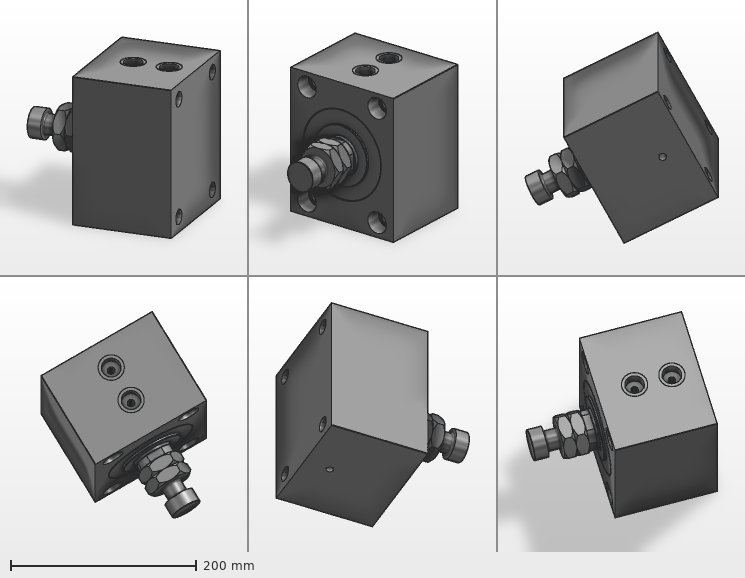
import cadquery as cq
import math

OVERALL_LENGTH = 190.0

BLOCK_LENGTH = 115.0
BLOCK_WIDTH = 140.0
BLOCK_HEIGHT = 170.0
BLOCK_EDGE_CHAMFER = 0.5
BLOCK_FRONT = OVERALL_LENGTH - BLOCK_LENGTH

MOUNT_SPACING_Y = 95.0
MOUNT_SPACING_Z = 134.9
MOUNT_HOLE_DIAMETER = 17.0
MOUNT_BORE_DIAMETER = 25.0
MOUNT_BORE_DEPTH = 19.0

FRONT_PORT_X = BLOCK_FRONT + 42.0
REAR_PORT_X = FRONT_PORT_X + 42.0
PORT_FACE_DIAMETER = 28.3
PORT_FACE_DEPTH = 0.4
PORT_THREAD_DIAMETER = 21.0
PORT_THREAD_DEPTH = 14.0
PORT_DUCT_DIAMETER = 8.2

GLAND_DIAMETER = 104.9
GLAND_DEPTH = 28.5
GLAND_SEAT_CHAMFER = 1.0
BOSS_DIAMETER = 72.0
BOSS_HEIGHT = 2.8
BOSS_CHAMFER = 0.8
WIPER_DIAMETER = 48.3
WIPER_DEPTH = 1.5
BOSS_FRONT = BLOCK_FRONT - BOSS_HEIGHT

ROD_DIAMETER = 45.0
ROD_CHAMFER = 0.4
ROD_PROJECTION = 3.0
ROD_INNER_END = BLOCK_FRONT + 57.0
ROD_SHOULDER = BOSS_FRONT - ROD_PROJECTION
WRENCH_FLATS = 40.5
WRENCH_ROUND_DIAMETER = 44.5

HEAD_DIAMETER = 34.8
HEAD_LENGTH = 16.0
HEAD_CHAMFER = 0.5
NECK_DIAMETER = 23.0
NECK_FILLET = 1.9
HEX_FLATS = 46.0
HEX_LENGTH = 14.2
HEX_COUNT = 2
HEX_START = 32.0
STUD_END = HEX_START + HEX_COUNT * HEX_LENGTH


def round_bar(diameter, start, end):
    """Cylinder on the X axis from X = start to X = end."""
    return cq.Workplane("YZ", origin=(start, 0, 0)).circle(diameter / 2).extrude(end - start)


def port_bore(x, diameter, depth):
    """Vertical cutter that goes down from the top face of the block."""
    top = cq.Workplane("XY", origin=(x, 0, BLOCK_HEIGHT / 2))
    return top.circle(diameter / 2).extrude(-depth)


def cut_port(body, x, duct_depth):
    """Spot face, thread bore and narrow oil duct of one port."""
    body = body.cut(port_bore(x, PORT_FACE_DIAMETER, PORT_FACE_DEPTH))
    body = body.cut(port_bore(x, PORT_THREAD_DIAMETER, PORT_THREAD_DEPTH))
    return body.cut(port_bore(x, PORT_DUCT_DIAMETER, duct_depth))


def make_block():
    """Drilled block with the seat for the gland and a blind bore for the rod."""
    body = cq.Workplane("XY").box(BLOCK_LENGTH, BLOCK_WIDTH, BLOCK_HEIGHT)
    body = body.edges("|X").chamfer(BLOCK_EDGE_CHAMFER)
    body = body.translate((BLOCK_FRONT + BLOCK_LENGTH / 2, 0, 0))

    body = (
        body.faces("<X").workplane(origin=(BLOCK_FRONT, 0, 0))
        .rarray(MOUNT_SPACING_Y, MOUNT_SPACING_Z, 2, 2)
        .cboreHole(MOUNT_HOLE_DIAMETER, MOUNT_BORE_DIAMETER, MOUNT_BORE_DEPTH)
    )

    body = cut_port(body, FRONT_PORT_X, BLOCK_HEIGHT / 2)
    body = cut_port(body, REAR_PORT_X, BLOCK_HEIGHT)

    seat = round_bar(GLAND_DIAMETER, BLOCK_FRONT, BLOCK_FRONT + GLAND_DEPTH)
    seat_mouth = cq.Workplane(
        cq.Solid.makeCone(
            GLAND_DIAMETER / 2 + GLAND_SEAT_CHAMFER,
            GLAND_DIAMETER / 2,
            GLAND_SEAT_CHAMFER,
            pnt=cq.Vector(BLOCK_FRONT, 0, 0),
            dir=cq.Vector(1, 0, 0),
        )
    )
    rod_bore = round_bar(ROD_DIAMETER, BLOCK_FRONT, ROD_INNER_END)
    return body.cut(seat).cut(seat_mouth).cut(rod_bore)


def make_gland():
    """Plug with a chamfered boss and a shallow wiper recess around the rod."""
    plug = round_bar(GLAND_DIAMETER, BLOCK_FRONT, BLOCK_FRONT + GLAND_DEPTH)
    boss = round_bar(BOSS_DIAMETER, BOSS_FRONT, BLOCK_FRONT).faces("<X").chamfer(BOSS_CHAMFER)
    rod_bore = round_bar(ROD_DIAMETER, BOSS_FRONT, BLOCK_FRONT + GLAND_DEPTH)
    wiper_recess = round_bar(WIPER_DIAMETER, BOSS_FRONT, BOSS_FRONT + WIPER_DEPTH)
    return plug.union(boss).cut(rod_bore).cut(wiper_recess)


def make_rod():
    """Round rod with a shoulder and a narrower square wrench section."""
    shaft = round_bar(ROD_DIAMETER, ROD_SHOULDER, ROD_INNER_END).faces("<X").chamfer(ROD_CHAMFER)
    square = (
        cq.Workplane("YZ", origin=(STUD_END, 0, 0))
        .rect(WRENCH_FLATS, WRENCH_FLATS)
        .extrude(ROD_SHOULDER - STUD_END)
    )
    wrench_section = square.intersect(round_bar(WRENCH_ROUND_DIAMETER, STUD_END, ROD_SHOULDER))
    return shaft.union(wrench_section)


def make_hexagon(start):
    """Hexagon with flats facing +Z and -Z, its corners turned off at 45 degrees on both faces."""
    corner_diameter = HEX_FLATS / math.cos(math.pi / 6)
    prism = (
        cq.Workplane("YZ", origin=(start, 0, 0))
        .polygon(6, corner_diameter)
        .extrude(HEX_LENGTH)
    )
    corner_chamfer = (corner_diameter - HEX_FLATS) / 2
    turned = round_bar(corner_diameter, start, start + HEX_LENGTH)
    turned = turned.faces("<X or >X").chamfer(corner_chamfer)
    return prism.intersect(turned)


def make_stud():
    """Head and neck turned as one profile, with the hexagons joined on behind them."""
    head_radius = HEAD_DIAMETER / 2
    neck_radius = NECK_DIAMETER / 2
    fillet_radius = neck_radius + NECK_FILLET
    fillet_mid = NECK_FILLET * (1 - math.sqrt(0.5))
    profile = (
        cq.Workplane("XY")
        .lineTo(0, head_radius - HEAD_CHAMFER)
        .lineTo(HEAD_CHAMFER, head_radius)
        .lineTo(HEAD_LENGTH, head_radius)
        .lineTo(HEAD_LENGTH, fillet_radius)
        .threePointArc(
            (HEAD_LENGTH + fillet_mid, neck_radius + fillet_mid),
            (HEAD_LENGTH + NECK_FILLET, neck_radius),
        )
        .lineTo(HEX_START - NECK_FILLET, neck_radius)
        .threePointArc((HEX_START - fillet_mid, neck_radius + fillet_mid), (HEX_START, fillet_radius))
        .lineTo(HEX_START, 0)
        .close()
    )
    stud = profile.revolve(360, (0, 0, 0), (1, 0, 0))
    for index in range(HEX_COUNT):
        stud = stud.union(make_hexagon(HEX_START + index * HEX_LENGTH))
    return stud


block = make_block()
gland = make_gland()
rod = make_rod()
stud = make_stud()

result = cq.Compound.makeCompound([block.val(), gland.val(), rod.val(), stud.val()])